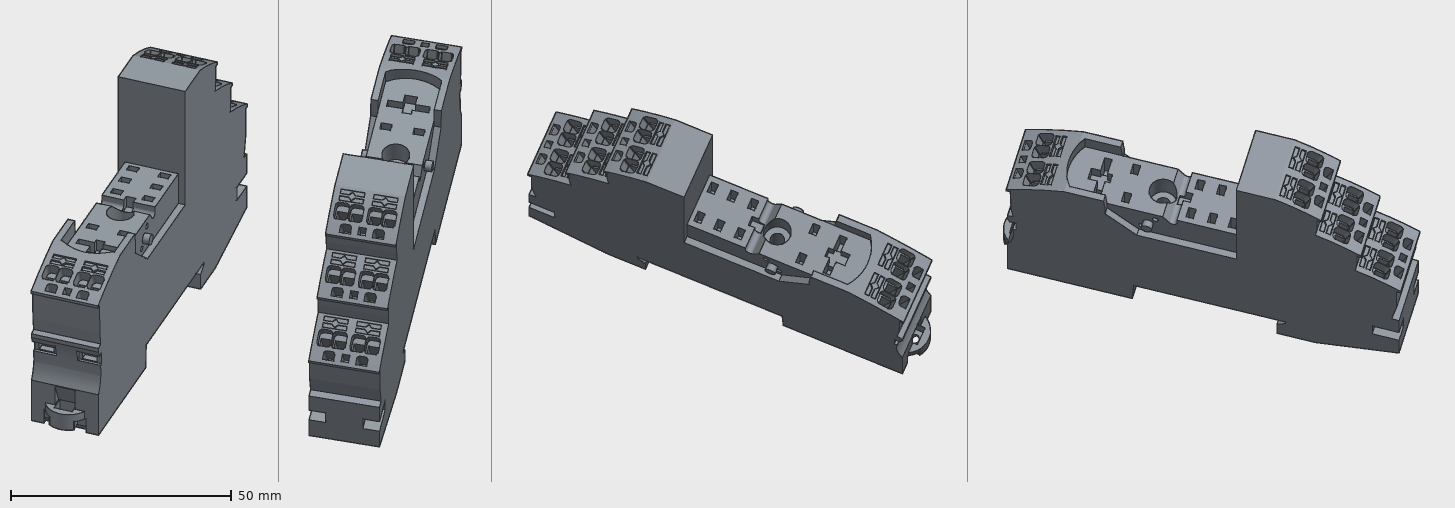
import cadquery as cq
import math

WIDTH = 16.4
LENGTH = 95.7
HEIGHT = 60.3
HALF_WIDTH = WIDTH / 2

FRONT_Y = 3.0
FRONT_LIP_Y = 2.7
REAR_Y = 95.3
RAIL_ROOF_Z = 6.0
RAIL_FRONT_Y = 32.7
RAIL_REAR_Y = 66.5
FRONT_TOP_Z = 40.9
FRONT_TOP_Y = 16.4
FRONT_LIP_Z = 35.7
TOWER_FRONT_Y = 56.9
EAR_Y = 26.0

SEAT_Z = 37.3
SEAT_HALF = 6.5
LEDGE_Z = 29.2
LEDGE_FRONT_Y = 33.5
LEDGE_RAMP_Z = 35.4

TIER_COUNT = 3
TIER_PITCH_Y = 9.4
TIER_RISE_Z = 11.7
TIER_LIP_Z = 32.4
TIER_RUN = 10.7
TIER_FALL = 4.5
TIER_BULGE = 0.335
TOP_RUN = LENGTH - 2 * TIER_PITCH_Y - 66.1
LIP_THICKNESS = 0.7
LIP_OVERHANG = 1.0

TERMINAL_X = 3.8
WIRE_SPACING = 3.35
WIRE_WIDTH = 3.3
WIRE_LENGTH = 4.0
WIRE_S = 5.8
WIRE_DEPTH = 2.9
WIRE_CORNER = 1.0
WIRE_BORE = 2.5
WIRE_BORE_S = 5.2
WIRE_BORE_DEPTH = 11.5
TEST_WIDTH = 2.6
TEST_LENGTH = 2.1
TEST_S = 1.9
TEST_CORNER = 0.8
TEST_DEPTH = 6.7
SQUARE_SIDE = 1.7
SQUARE_DEPTH = 4.8
LABEL_WIDTH = 5.55
LABEL_LENGTH = 2.7
LABEL_S = 9.7
LABEL_DEPTH = 0.3
LABEL_BAR = 0.6
LABEL_DIAMOND = 1.4
CUT_ABOVE = 1.9

SOCKET_ROWS_Y = (55.0, 50.1, 45.1, 29.85)
SOCKET_WIDTH = 2.5
SOCKET_LENGTH = 1.7
SOCKET_DEPTH = 5.7
KEYWAY_ARM_Y = 23.15
KEYWAY_ARM_END = 4.9
KEYWAY_HUB_HALF = 2.0
KEYWAY_REAR_HALF = 1.1
KEYWAY_REAR_Y = 25.2
KEYWAY_FRONT_HALF = 1.4
KEYWAY_FRONT_Y = 20.1
RECESS_FLOOR_Z = 34.4
NOTCH_HALF = 1.15
NOTCH_FRONT_Y = 41.0
NOTCH_REAR_Y = 44.1
SCREW_Y = 37.4
SCREW_RADIUS = 1.6
SCREW_HEAD_RADIUS = 3.2
SCREW_HEAD_DEPTH = 5.7
PIN_Y = 35.7
PIN_Z = 33.0
PIN_RADIUS = 1.2
PIN_LENGTH = HALF_WIDTH - SEAT_HALF
DIMPLE_RADIUS = 0.7
DIMPLE_DEPTH = 0.8
DIMPLE_CENTRES = ((37.4, 35.2), (34.2, 31.1))

LATCH_HALF = 4.8
LATCH_TOP_Z = 5.7
LATCH_BOTTOM_Z = 1.4
LATCH_STEP_Z = 3.7
LATCH_NECK_HALF = 2.9
SLIDE_HALF = 5.2
SLIDE_RECESS = 0.4
RAMP_RUN = 0.9
TOOL_SLOT_HALF = 2.5
TOOL_SLOT_TOP_Z = 10.9
TOOL_SLOT_BACK_Y = 5.4
TAB_POCKET_HALF = 2.2
TAB_POCKET_FRONT_Y = 1.8
TAB_POCKET_FLOOR_Z = 2.1
TAB_NECK_FRONT_Y = 1.0
TAB_HOLE_Y = 3.4
TAB_HOLE_RADIUS = 1.1
HOOK_ROOT_Y = 31.6
HOOK_FOOT_Y = 32.4
HOOK_NECK_Y = 34.2
HOOK_TIP_Z = 4.9


def box(x0, x1, y0, y1, z0, z1):
    """Axis-aligned box between opposite corners."""
    return cq.Workplane("XY").box(x1 - x0, y1 - y0, z1 - z0, centered=False).translate((x0, y0, z0))


def centred_box(half_x, y0, y1, z0, z1):
    return box(-half_x, half_x, y0, y1, z0, z1)


def extrude_yz(wire, x0, x1):
    """Extrude a closed outline drawn in Y and Z from x0 to x1."""
    return wire.extrude(x1 - x0).translate((x0, 0, 0))


def both_sides(solid):
    return solid.union(solid.mirror("YZ"))


def tier_lip(index):
    """Y and Z of the lip of a rear tier."""
    return LENGTH - index * TIER_PITCH_Y, TIER_LIP_Z + index * TIER_RISE_Z


def bulged_mid(start, end):
    """Point above the middle of a tier's slope."""
    return (start[0] + end[0]) / 2, (start[1] + end[1]) / 2 + TIER_BULGE


def make_housing():
    front_top = (FRONT_TOP_Y, FRONT_TOP_Z)
    front_lip = (FRONT_LIP_Y, FRONT_LIP_Z)
    under_lip_z = FRONT_LIP_Z - LIP_THICKNESS
    outline = (
        cq.Workplane("YZ")
        .moveTo(FRONT_Y, 0)
        .lineTo(HOOK_FOOT_Y, 0)
        .lineTo(RAIL_FRONT_Y, RAIL_ROOF_Z)
        .lineTo(68.5, RAIL_ROOF_Z)
        .lineTo(68.5, 5.4)
        .lineTo(RAIL_REAR_Y, 4.0)
        .lineTo(RAIL_REAR_Y, 0)
        .lineTo(75.7, 0)
        .lineTo(REAR_Y, 4.3)
        .lineTo(REAR_Y, 18.9)
        .lineTo(93.6, 19.1)
        .lineTo(LENGTH - LIP_OVERHANG, 24.7)
    )
    for index in range(TIER_COUNT):
        lip_y, lip_z = tier_lip(index)
        is_top = index == TIER_COUNT - 1
        inner = (lip_y - TOP_RUN, HEIGHT) if is_top else (lip_y - TIER_RUN, lip_z + TIER_FALL)
        outline = (
            outline
            .lineTo(lip_y - LIP_OVERHANG, lip_z - LIP_THICKNESS)
            .lineTo(lip_y, lip_z - LIP_THICKNESS)
            .lineTo(lip_y, lip_z)
            .threePointArc(bulged_mid((lip_y, lip_z), inner), inner)
        )
        if not is_top:
            outline = outline.lineTo(inner[0] + 0.4, inner[1] + 3.1)
    outline = (
        outline
        .lineTo(TOWER_FRONT_Y, HEIGHT)
        .lineTo(TOWER_FRONT_Y, SEAT_Z)
        .lineTo(EAR_Y, SEAT_Z)
        .lineTo(EAR_Y - 0.4, FRONT_TOP_Z)
        .lineTo(*front_top)
        .threePointArc(bulged_mid(front_top, front_lip), front_lip)
        .lineTo(FRONT_LIP_Y, under_lip_z)
        .lineTo(FRONT_LIP_Y + LIP_OVERHANG, under_lip_z)
        .lineTo(3.8, 27.5)
        .lineTo(4.3, 24.2)
        .lineTo(FRONT_Y, 23.8)
        .lineTo(FRONT_Y, 22.8)
        .threePointArc((4.0, 19.6), (4.4, 15.3))
        .threePointArc((3.9, 13.2), (FRONT_Y, 11.1))
        .close()
    )
    return extrude_yz(outline, -HALF_WIDTH, HALF_WIDTH)


def cut_relay_seat(body):
    ledge = (
        cq.Workplane("YZ")
        .moveTo(TOWER_FRONT_Y, SEAT_Z)
        .lineTo(TOWER_FRONT_Y, LEDGE_Z)
        .lineTo(LEDGE_FRONT_Y, LEDGE_Z)
        .lineTo(EAR_Y, LEDGE_RAMP_Z)
        .lineTo(EAR_Y, SEAT_Z)
        .close()
    )
    body = body.cut(both_sides(extrude_yz(ledge, SEAT_HALF, HALF_WIDTH)))

    between_ears = (
        cq.Workplane("XY")
        .moveTo(-SEAT_HALF, EAR_Y)
        .lineTo(-SEAT_HALF, 17.2)
        .threePointArc((0, 15.1), (SEAT_HALF, 17.2))
        .lineTo(SEAT_HALF, EAR_Y)
        .close()
        .extrude(FRONT_TOP_Z - SEAT_Z)
        .translate((0, 0, SEAT_Z))
    )
    body = body.cut(between_ears)

    groove = (
        cq.Workplane("YZ")
        .moveTo(42.5, SEAT_Z)
        .lineTo(42.5, 35.9)
        .threePointArc((41.8, 35.1), (40.8, 35.3))
        .lineTo(39.1, SEAT_Z)
        .close()
    )
    body = body.cut(extrude_yz(groove, -SEAT_HALF, SEAT_HALF))
    return body.cut(centred_box(NOTCH_HALF, NOTCH_FRONT_Y, NOTCH_REAR_Y, RECESS_FLOOR_Z, SEAT_Z))


def make_slot(x0, x1, middle_y):
    """Blind contact slot sunk into the seat."""
    half_length = SOCKET_LENGTH / 2
    return box(x0, x1, middle_y - half_length, middle_y + half_length, SEAT_Z - SOCKET_DEPTH, SEAT_Z)


def cut_seat_openings(body):
    for row_y in SOCKET_ROWS_Y:
        socket = make_slot(TERMINAL_X - SOCKET_WIDTH / 2, TERMINAL_X + SOCKET_WIDTH / 2, row_y)
        body = body.cut(both_sides(socket))

    arm_front_y = KEYWAY_ARM_Y - SOCKET_LENGTH / 2
    arm_rear_y = KEYWAY_ARM_Y + SOCKET_LENGTH / 2
    for half_x, y0, y1 in (
        (KEYWAY_REAR_HALF, arm_rear_y, KEYWAY_REAR_Y),
        (KEYWAY_HUB_HALF, arm_front_y, arm_rear_y),
        (KEYWAY_FRONT_HALF, KEYWAY_FRONT_Y, arm_front_y),
    ):
        body = body.cut(centred_box(half_x, y0, y1, RECESS_FLOOR_Z, SEAT_Z))
    body = body.cut(both_sides(make_slot(KEYWAY_HUB_HALF, KEYWAY_ARM_END, KEYWAY_ARM_Y)))

    shank = cq.Workplane("XY").center(0, SCREW_Y).circle(SCREW_RADIUS).extrude(SEAT_Z)
    head = (
        cq.Workplane("XY")
        .workplane(offset=SEAT_Z - SCREW_HEAD_DEPTH)
        .center(0, SCREW_Y)
        .circle(SCREW_HEAD_RADIUS)
        .extrude(SCREW_HEAD_DEPTH)
    )
    return body.cut(shank).cut(head)


def add_side_pins(body):
    pin = cq.Workplane("YZ").center(PIN_Y, PIN_Z).circle(PIN_RADIUS).extrude(PIN_LENGTH)
    body = body.union(both_sides(pin.translate((SEAT_HALF, 0, 0))))
    for y, z in DIMPLE_CENTRES:
        dimple = cq.Workplane("YZ").center(y, z).circle(DIMPLE_RADIUS).extrude(DIMPLE_DEPTH)
        body = body.cut(both_sides(dimple.translate((SEAT_HALF - DIMPLE_DEPTH, 0, 0))))
    return body


def make_terminal_cutter():
    """Openings of one tier: origin on the lip, +Y up the slope, +Z out of it."""
    def pocket(x, s, width, length, depth):
        height = depth + CUT_ABOVE
        return cq.Workplane("XY").box(width, length, height).translate((x, s, CUT_ABOVE - height / 2))

    cutter = pocket(0, TEST_S, SQUARE_SIDE, SQUARE_SIDE, SQUARE_DEPTH)
    for side in (-1, 1):
        x = side * TERMINAL_X
        test = pocket(x, TEST_S, TEST_WIDTH, TEST_LENGTH, TEST_DEPTH)
        test = test.edges("|Z and >Y").fillet(TEST_CORNER)
        cutter = cutter.union(test)
        for half in (-1, 1):
            wire_x = x + half * WIRE_SPACING / 2
            entry = pocket(wire_x, WIRE_S, WIRE_WIDTH, WIRE_LENGTH, WIRE_DEPTH)
            entry = entry.edges("|Z").fillet(WIRE_CORNER)
            bore = pocket(wire_x, WIRE_BORE_S, WIRE_BORE, WIRE_BORE, WIRE_BORE_DEPTH)
            cutter = cutter.union(entry).union(bore)
        label = pocket(x, LABEL_S, LABEL_WIDTH, LABEL_LENGTH, LABEL_DEPTH)
        bar = pocket(x, LABEL_S, LABEL_WIDTH, LABEL_BAR, LABEL_DEPTH)
        diamond = pocket(0, 0, LABEL_DIAMOND, LABEL_DIAMOND, LABEL_DEPTH).rotate((0, 0, 0), (0, 0, 1), 45)
        cutter = cutter.union(label.cut(bar).cut(diamond.translate((x, LABEL_S, 0))))
    return cutter


def cut_terminals(body):
    cutter = make_terminal_cutter()
    front_slope = math.degrees(math.atan2(FRONT_TOP_Z - FRONT_LIP_Z, FRONT_TOP_Y - FRONT_LIP_Y))
    front = cutter.rotate((0, 0, 0), (1, 0, 0), front_slope)
    body = body.cut(front.translate((0, FRONT_LIP_Y, FRONT_LIP_Z)))

    rear_slope = math.degrees(math.atan2(TIER_FALL, TIER_RUN))
    rear = cutter.mirror("XZ").rotate((0, 0, 0), (1, 0, 0), -rear_slope)
    for index in range(TIER_COUNT):
        lip_y, lip_z = tier_lip(index)
        body = body.cut(rear.translate((0, lip_y, lip_z)))
    return body


def cut_wall_recesses(body):
    window = box(2.6, HALF_WIDTH, 0, 5.0, 18.4, 21.3)
    inner_pocket = box(3.4, 7.1, 0, 6.7, 18.7, 21.0)
    body = body.cut(both_sides(window.union(inner_pocket)))
    rear_pocket = box(4.3, HALF_WIDTH, 89.0, REAR_Y, 10.1, 13.7)
    return body.cut(both_sides(rear_pocket))


def add_rail_latch(body):
    body = body.cut(centred_box(SLIDE_HALF, FRONT_Y, FRONT_Y + SLIDE_RECESS, 0, LATCH_STEP_Z))
    ramp_y = FRONT_Y + SLIDE_RECESS
    ramp = (
        cq.Workplane("YZ")
        .moveTo(ramp_y, 0)
        .lineTo(ramp_y, LATCH_BOTTOM_Z)
        .lineTo(ramp_y + RAMP_RUN, 0)
        .close()
    )
    body = body.cut(extrude_yz(ramp, -SLIDE_HALF, SLIDE_HALF))
    tool_slot = (
        cq.Workplane("YZ")
        .moveTo(FRONT_Y, LATCH_TOP_Z)
        .lineTo(FRONT_Y, TOOL_SLOT_TOP_Z)
        .lineTo(TOOL_SLOT_BACK_Y, LATCH_TOP_Z)
        .close()
    )
    body = body.cut(extrude_yz(tool_slot, -TOOL_SLOT_HALF, TOOL_SLOT_HALF))

    tab = (
        cq.Workplane("XY")
        .moveTo(-LATCH_HALF, ramp_y)
        .lineTo(-LATCH_HALF, FRONT_Y)
        .threePointArc((0, 0), (LATCH_HALF, FRONT_Y))
        .lineTo(LATCH_HALF, ramp_y)
        .close()
        .extrude(LATCH_TOP_Z - LATCH_BOTTOM_Z)
        .translate((0, 0, LATCH_BOTTOM_Z))
    )
    corner = box(LATCH_NECK_HALF, LATCH_HALF, TAB_NECK_FRONT_Y, ramp_y, LATCH_BOTTOM_Z, LATCH_STEP_Z)
    body = body.union(tab.cut(both_sides(corner)))
    tab_pocket = centred_box(
        TAB_POCKET_HALF, TAB_POCKET_FRONT_Y, TOOL_SLOT_BACK_Y, TAB_POCKET_FLOOR_Z, LATCH_TOP_Z
    )
    body = body.cut(tab_pocket)
    hole = cq.Workplane("XY").center(0, TAB_HOLE_Y).circle(TAB_HOLE_RADIUS).extrude(LATCH_TOP_Z)
    body = body.cut(hole)

    hook = (
        cq.Workplane("YZ")
        .moveTo(HOOK_ROOT_Y, 0)
        .lineTo(HOOK_FOOT_Y, 0)
        .lineTo(36.0, HOOK_TIP_Z)
        .lineTo(34.6, HOOK_TIP_Z)
        .lineTo(HOOK_NECK_Y, RAIL_ROOF_Z)
        .lineTo(HOOK_ROOT_Y, RAIL_ROOF_Z)
        .close()
    )
    body = body.union(extrude_yz(hook, -LATCH_HALF, LATCH_HALF))
    return body.union(centred_box(SLIDE_HALF, HOOK_ROOT_Y, HOOK_NECK_Y, LATCH_STEP_Z, RAIL_ROOF_Z))


housing = make_housing()
housing = cut_relay_seat(housing)
housing = cut_seat_openings(housing)
housing = add_side_pins(housing)
housing = cut_terminals(housing)
housing = cut_wall_recesses(housing)
result = add_rail_latch(housing)